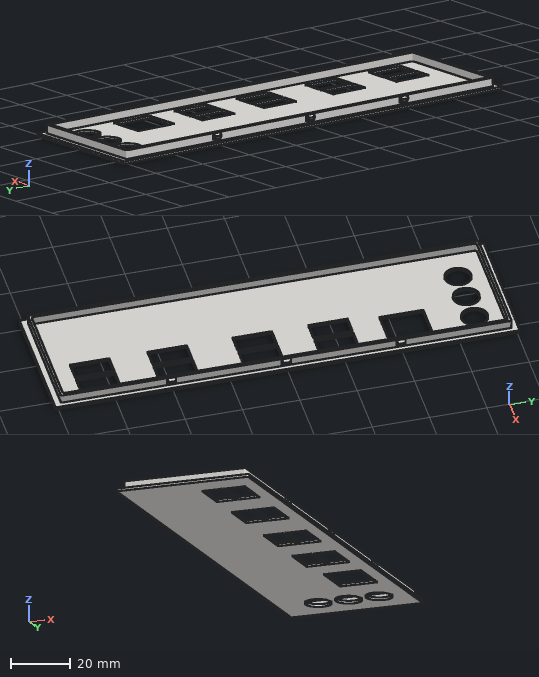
import cadquery as cq

plate_length = 162.0
plate_width = 48.0
plate_thickness = 1.0
plate_corner_radius = 0.5

total_height = 4.0
rim_length = 157.1
rim_width = 44.0
pocket_length = 155.2
pocket_width = 41.8
rim_height = total_height - plate_thickness
rim_corner_radius = 0.5
pocket_corner_radius = 0.8

nub_spacing = 40.0
nub_reach = 1.1
nub_base_length = 3.2
nub_tip_length = 2.5
nub_bottom_z = 1.8
nub_tip_z = 3.0
nub_top_z = 3.9

jack_diameter = 9.0
jack_spacing = 11.0
jack_middle_x = 2.0
jack_y = 68.0

window_right_x = 18.5
square_window_width = 13.3
square_window_length = 15.2
square_window_y = 44.5
pair_width = 15.2
pair_length = 13.6
pair_divider_width = 1.0
pair_right_width = 7.5
pair_left_width = pair_width - pair_divider_width - pair_right_width
pair_centers_y = [19.5, -7.0, -36.6, -63.7]


def upright_block(width, length, height):
    """Sharp-cornered box resting on Z = 0."""
    return cq.Workplane("XY").box(width, length, height, centered=(True, True, False))


def window_cutter(right_x, center_y, width, length):
    """Rectangular cutter that passes through the plate."""
    cutter = cq.Workplane("XY").box(width, length, total_height)
    return cutter.translate((right_x - width / 2, center_y, 0))


def snap_nub(center_y):
    """Ridge on the right side of the rim: a wedge whose tip is shorter than its base."""
    base_x = rim_width / 2
    tip_x = base_x + nub_reach
    wedge = (
        cq.Workplane("XZ")
        .polyline([(base_x, nub_bottom_z), (tip_x, nub_tip_z), (base_x, nub_top_z)])
        .close()
        .extrude(nub_base_length / 2, both=True)
    )
    taper = (
        cq.Workplane("XY")
        .polyline([
            (base_x, -nub_base_length / 2),
            (tip_x, -nub_tip_length / 2),
            (tip_x, nub_tip_length / 2),
            (base_x, nub_base_length / 2),
        ])
        .close()
        .extrude(total_height)
    )
    return wedge.intersect(taper).translate((0, center_y, 0))


plate = upright_block(plate_width, plate_length, plate_thickness)
plate = plate.edges("|Z").fillet(plate_corner_radius)
rim = upright_block(rim_width, rim_length, rim_height)
rim = rim.edges("|Z").fillet(rim_corner_radius)
pocket = upright_block(pocket_width, pocket_length, rim_height)
pocket = pocket.edges("|Z").fillet(pocket_corner_radius)
result = plate.union(rim.cut(pocket).translate((0, 0, plate_thickness)))

for nub_y in (-nub_spacing, 0, nub_spacing):
    nub = snap_nub(nub_y)
    result = result.union(nub).union(nub.mirror("YZ"))

for step in (-1, 0, 1):
    jack_x = jack_middle_x + step * jack_spacing
    jack_hole = cq.Workplane("XY").center(jack_x, jack_y).circle(jack_diameter / 2)
    result = result.cut(jack_hole.extrude(total_height))

result = result.cut(
    window_cutter(window_right_x, square_window_y, square_window_width, square_window_length)
)
divider_left_x = window_right_x - pair_right_width - pair_divider_width
for pair_y in pair_centers_y:
    result = result.cut(window_cutter(window_right_x, pair_y, pair_right_width, pair_length))
    result = result.cut(window_cutter(divider_left_x, pair_y, pair_left_width, pair_length))